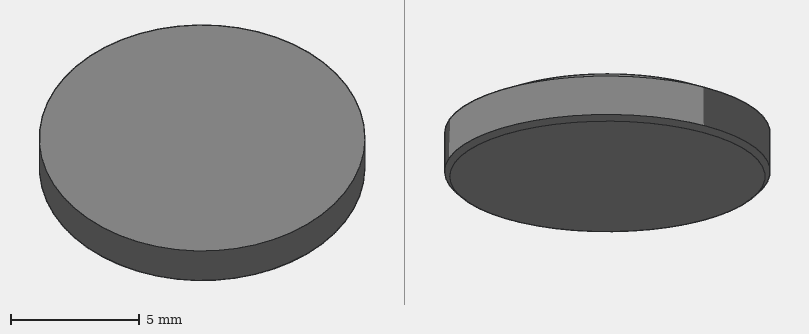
import cadquery as cq

diameter = 12.7
total_height = 3.35
dome_height = 1.55
bottom_chamfer = 0.2

radius = diameter / 2
rim_height = total_height - dome_height
dome_radius = (radius**2 + dome_height**2) / (2 * dome_height)

rim = cq.Workplane("XY").circle(radius).extrude(rim_height)
rim = rim.faces("<Z").edges().chamfer(bottom_chamfer)

arc_mid_x = radius / 2
arc_mid_z = total_height - dome_radius + (dome_radius**2 - arc_mid_x**2) ** 0.5
dome = (
    cq.Workplane("XZ")
    .moveTo(0, rim_height)
    .lineTo(radius, rim_height)
    .threePointArc((arc_mid_x, arc_mid_z), (0, total_height))
    .close()
    .revolve(360, (0, 0, 0), (0, 1, 0))
)

result = rim.union(dome)